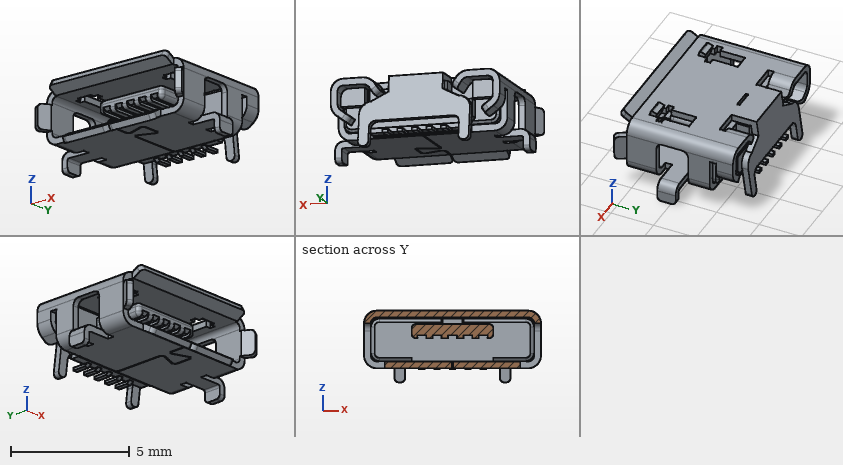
import cadquery as cq
import math


SHELL_W = 7.5
SHELL_D = 5.0
SHELL_H = 2.45
SHEET = 0.3
SHELL_R = 0.55
HALF_W = SHELL_W / 2
INNER_W = SHELL_W - 2 * SHEET
ROOF_UNDERSIDE = SHELL_H - SHEET
FLOOR_REAR = 3.9

LIP_ANGLE = 30
LIP_LENGTH = 0.52
LIP_R = 0.2
ROOF_LIP_W = 6.4
SIDE_LIP_W = 1.16
FLOOR_LIP_W = 5.0

SEAM_GAP = 0.05
SEAM_R = 0.15
DOVETAIL_REACH = 1.09
DOVETAIL_Y = 1.07
DOVETAIL_ROOT_W = 0.3
DOVETAIL_HEAD_W = 1.12

WINDOW_Y0 = 1.4
WINDOW_Y1 = 2.895
WINDOW_TOP = 1.9
WINDOW_R = 0.3
WINDOW_FLOOR_X = 2.87
LEG_W = 0.87
LEG_Y = (WINDOW_Y0 + WINDOW_Y1) / 2
LEG_SPAN = 8.65
LEG_BOTTOM = -0.6
LEG_BEND_R = 0.4
LEG_TIP_R = 0.2

LATCH_X = 2.36
LATCH_W = 0.715
LATCH_Y0 = 0.575
LATCH_Y1 = 2.44
CROSS_W = 1.195
CROSS_Y0 = 1.01
CROSS_Y1 = 1.265
LATCH_ANGLE = 72
LATCH_RISE = 0.237
LATCH_ROOT = 0.2
LATCH_TIP_R = 0.06

SLIT_W = 0.83
SLIT_Y0 = 3.59
SLIT_Y1 = 3.71

TAB_R = 0.66
TAB_ANGLE = 55
TAB_REAR_R = 0.25
TAB_FRONT_R = 0.06
ROOF_TAB_X = 2.35
ROOF_TAB_Y = 3.97
ROOF_TAB_FLAT = 0.39
ROOF_NOTCH_Y = 3.7
SIDE_TAB_Z = 1.375
SIDE_TAB_Y = 4.21
SIDE_TAB_FLAT = 0.49
SIDE_SLOT_TOP = 1.72

PLATE_TOP_Y = 4.88
PLATE_BOTTOM_Y = 5.29
PLATE_NECK = 1.2
PLATE_HALF_W = 2.46
NECK_Z = 1.75
SHOULDER_X = 1.95
SHOULDER_Z = 1.37
SHOULDER_END_Z = 0.8
PLATE_MID_Z = 0.5
FOOT_W = 0.46
FOOT_TIP_R = 0.2
FOOT_ROOT_R = 0.3

BODY_Y0 = 3.45
BODY_Y1 = 4.16
BODY_TOP = 2.11
BODY_R = 0.35
FRONT_CHAMFER = 0.15
REAR_CHAMFER = 0.12
RECESS_Y = 3.96
CENTRE_HALF_W = 1.3
REAR_Y = 4.57
REAR_TOP = 1.3
REAR_HALF_W = 2.4
REAR_BEVEL = 0.24
BASE_Z = 0.1
BASE_Y1 = 4.52
STEP_Z = 0.05
STEP_Y1 = 4.03
BODY_SHOULDER_Z = 1.34
BODY_SHOULDER_Y1 = 4.5
BODY_SHOULDER_GAP = 0.05
NOTCH_TAPER = 0.07

TONGUE_W = 3.47
TONGUE_Y0 = 1.0
TONGUE_Z0 = 1.27
TONGUE_Z1 = 1.885
TONGUE_R = 0.2
CONTACTS = 5
PITCH = 0.65
SLOT_W = 0.365
SLOT_TOP = 1.53
SLOT_RAMP_Z = 1.4
SLOT_RAMP_LENGTH = 0.2
TAIL_W = 0.24
TAIL_Z = -0.03
TAIL_Y0 = 4.28
TAIL_Y1 = 5.1
TAIL_CHAMFER = 0.17


def box(x0, x1, y0, y1, z0, z1):
    """Box between two opposite corners."""
    return cq.Workplane("XY").box(x1 - x0, y1 - y0, z1 - z0, centered=False).translate((x0, y0, z0))


def both_sides(solid):
    """The solid together with its mirror image across the YZ plane."""
    return solid.union(solid.mirror("YZ"))


def along_y(outline, y0, y1):
    """Extrude a closed XZ outline from y0 to y1."""
    return outline.extrude(y0 - y1).translate((0, y0, 0))


def along_x(points, x0, x1):
    """Extrude a closed polygon of (y, z) points from x0 to x1."""
    return cq.Workplane("YZ").polyline(points).close().extrude(x1 - x0).translate((x0, 0, 0))


def shell_tube():
    outer = box(-HALF_W, HALF_W, 0, SHELL_D, 0, SHELL_H).edges("|Y").fillet(SHELL_R)
    inner = box(-INNER_W / 2, INNER_W / 2, 0, SHELL_D, SHEET, ROOF_UNDERSIDE)
    return outer.cut(inner.edges("|Y").fillet(SHELL_R - SHEET))


def lip(width):
    """Flared lip centred on X whose outer face starts at the origin and rises towards -Y."""
    angle = math.radians(LIP_ANGLE)
    sine, cosine = math.sin(angle), math.cos(angle)
    tip_y, tip_z = -LIP_LENGTH * cosine, LIP_LENGTH * sine
    bend_y = -SHEET * math.tan(angle / 2)
    profile = [
        (0, 0),
        (tip_y, tip_z),
        (tip_y - SHEET * sine, tip_z - SHEET * cosine),
        (bend_y, -SHEET),
        (0, -SHEET),
    ]
    thickness = cq.selectors.ParallelDirSelector(cq.Vector(0, sine, cosine))
    return along_x(profile, -width / 2, width / 2).edges(thickness).fillet(LIP_R)


def lips():
    side = lip(SIDE_LIP_W).rotate((0, 0, 0), (0, 1, 0), 90).translate((HALF_W, 0, SHELL_H / 2))
    half_width = (FLOOR_LIP_W - SEAM_GAP) / 2
    floor = lip(half_width).rotate((0, 0, 0), (0, 1, 0), 180)
    floor = floor.translate(((half_width + SEAM_GAP) / 2, 0, 0))
    return lip(ROOF_LIP_W).translate((0, 0, SHELL_H)).union(both_sides(side.union(floor)))


def seam():
    """Narrow gap following a dovetail from the front to the rear of the floor."""
    left_half = (
        cq.Workplane("XY")
        .moveTo(0, -SHELL_D)
        .lineTo(0, DOVETAIL_Y - DOVETAIL_ROOT_W / 2)
        .lineTo(DOVETAIL_REACH, DOVETAIL_Y - DOVETAIL_HEAD_W / 2)
        .lineTo(DOVETAIL_REACH, DOVETAIL_Y + DOVETAIL_HEAD_W / 2)
        .lineTo(0, DOVETAIL_Y + DOVETAIL_ROOT_W / 2)
        .lineTo(0, SHELL_D)
        .lineTo(-SHELL_W, SHELL_D)
        .lineTo(-SHELL_W, -SHELL_D)
        .close()
        .extrude(SHEET)
        .edges("|Z")
        .fillet(SEAM_R)
    )
    border = left_half.faces("<Z").wires().vals()[0]

    def offset_half(distance):
        return cq.Workplane("XY").add(border).toPending().offset2D(distance).extrude(SHEET)

    return offset_half(SEAM_GAP / 2).cut(offset_half(-SEAM_GAP / 2))


def side_window():
    wall = box(INNER_W / 2 - SHELL_R, SHELL_W, WINDOW_Y0, WINDOW_Y1, SHEET, WINDOW_TOP)
    wall = wall.edges("|X and >Z").fillet(WINDOW_R)
    return wall.union(box(WINDOW_FLOOR_X, SHELL_W, WINDOW_Y0, WINDOW_Y1, 0, SHEET))


def board_leg():
    outer_x = LEG_SPAN / 2
    inner_x = outer_x - SHEET
    outline = (
        cq.Workplane("XZ")
        .moveTo(WINDOW_FLOOR_X, 0)
        .lineTo(inner_x, 0)
        .lineTo(inner_x, LEG_BOTTOM)
        .lineTo(outer_x, LEG_BOTTOM)
        .lineTo(outer_x, SHEET)
        .lineTo(WINDOW_FLOOR_X, SHEET)
        .close()
    )
    leg = along_y(outline, LEG_Y - LEG_W / 2, LEG_Y + LEG_W / 2)
    leg = leg.edges("|Y and >X and >Z").fillet(LEG_BEND_R)
    leg = leg.edges(cq.NearestToPointSelector((inner_x, LEG_Y, 0))).fillet(LEG_BEND_R - SHEET)
    return leg.edges("|X and <Z").fillet(LEG_TIP_R)


def latch_opening():
    x0, x1 = LATCH_X - LATCH_W / 2, LATCH_X + LATCH_W / 2
    slot = box(x0, x1, LATCH_Y0, LATCH_Y1, ROOF_UNDERSIDE, SHELL_H)
    cross_x0, cross_x1 = LATCH_X - CROSS_W / 2, LATCH_X + CROSS_W / 2
    return slot.union(box(cross_x0, cross_x1, CROSS_Y0, CROSS_Y1, ROOF_UNDERSIDE, SHELL_H))


def latch():
    """Steep hook bent up out of the roof at the front end of its opening."""
    angle = math.radians(LATCH_ANGLE)
    tip_y = LATCH_Y0 + LATCH_RISE / math.tan(angle)
    tip_z = SHELL_H + LATCH_RISE
    back_y = tip_y + SHEET * math.sin(angle)
    back_z = tip_z - SHEET * math.cos(angle)
    heel_y = back_y - (back_z - ROOF_UNDERSIDE) / math.tan(angle)
    profile = [
        (LATCH_Y0 - LATCH_ROOT, SHELL_H),
        (LATCH_Y0, SHELL_H),
        (tip_y, tip_z),
        (back_y, back_z),
        (heel_y, ROOF_UNDERSIDE),
        (LATCH_Y0 - LATCH_ROOT, ROOF_UNDERSIDE),
    ]
    hook = along_x(profile, LATCH_X - LATCH_W / 2, LATCH_X + LATCH_W / 2)
    return hook.edges(cq.NearestToPointSelector((LATCH_X, tip_y, tip_z))).fillet(LATCH_TIP_R)


def bent_tab(place, flat, y0):
    """Tab reaching the shell rear; place maps (distance along, depth inward) to (x, z)."""
    angle = math.radians(TAB_ANGLE)
    inner_r = TAB_R - SHEET

    def on_bend(radius, turn):
        return radius * math.sin(turn), TAB_R - radius * math.cos(turn)

    def past_bend(radius):
        along, inward = on_bend(radius, angle)
        return along + flat * math.cos(angle), inward + flat * math.sin(angle)

    outline = (
        cq.Workplane("XZ")
        .moveTo(*place(0, 0))
        .threePointArc(place(*on_bend(TAB_R, angle / 2)), place(*on_bend(TAB_R, angle)))
        .lineTo(*place(*past_bend(TAB_R)))
        .lineTo(*place(*past_bend(inner_r)))
        .lineTo(*place(*on_bend(inner_r, angle)))
        .threePointArc(place(*on_bend(inner_r, angle / 2)), place(0, SHEET))
        .close()
    )
    tip_x, tip_z = place(*past_bend((TAB_R + inner_r) / 2))
    tab = along_y(outline, y0, SHELL_D)
    for tip_y, radius in ((SHELL_D, TAB_REAR_R), (y0, TAB_FRONT_R)):
        tab = tab.edges(cq.NearestToPointSelector((tip_x, tip_y, tip_z))).fillet(radius)
    return tab


def roof_tab():
    return bent_tab(lambda along, inward: (ROOF_TAB_X - along, SHELL_H - inward), ROOF_TAB_FLAT, ROOF_TAB_Y)


def side_tab():
    return bent_tab(lambda along, inward: (HALF_W - inward, SIDE_TAB_Z - along), SIDE_TAB_FLAT, SIDE_TAB_Y)


def rear_openings():
    """Material removed behind the floor, beside the side tabs and around the roof tabs."""
    below = box(-HALF_W, HALF_W, FLOOR_REAR, SHELL_D, 0, SIDE_TAB_Z)
    slot = box(INNER_W / 2, HALF_W, FLOOR_REAR, SIDE_TAB_Y, 0, SIDE_SLOT_TOP)
    notch = box(-ROOF_TAB_X, ROOF_TAB_X, ROOF_NOTCH_Y, SHELL_D, ROOF_UNDERSIDE, SHELL_H)
    return below.union(both_sides(slot)).union(notch)


def rear_plate():
    foot_inner = PLATE_HALF_W - FOOT_W
    shoulder_arc = math.sqrt(0.5)
    shoulder_mid = (
        SHOULDER_X + (PLATE_HALF_W - SHOULDER_X) * shoulder_arc,
        SHOULDER_Z - (SHOULDER_Z - SHOULDER_END_Z) * (1 - shoulder_arc),
    )
    outline = (
        cq.Workplane("XZ")
        .moveTo(0, SHELL_H)
        .lineTo(PLATE_NECK, SHELL_H)
        .lineTo(PLATE_NECK, NECK_Z)
        .lineTo(SHOULDER_X, SHOULDER_Z)
        .threePointArc(shoulder_mid, (PLATE_HALF_W, SHOULDER_END_Z))
        .lineTo(PLATE_HALF_W, LEG_BOTTOM)
        .lineTo(foot_inner, LEG_BOTTOM)
        .lineTo(foot_inner, PLATE_MID_Z)
        .lineTo(0, PLATE_MID_Z)
        .close()
    )
    half = along_y(outline, PLATE_TOP_Y - SHEET, PLATE_BOTTOM_Y)
    half = half.edges("|Y and <Z").fillet(FOOT_TIP_R)
    root_point = (foot_inner, (PLATE_TOP_Y - SHEET + PLATE_BOTTOM_Y) / 2, PLATE_MID_Z)
    half = half.edges(cq.NearestToPointSelector(root_point)).fillet(FOOT_ROOT_R)
    slope = along_x(
        [
            (PLATE_TOP_Y, SHELL_H),
            (PLATE_TOP_Y - SHEET, SHELL_H),
            (PLATE_BOTTOM_Y - SHEET, LEG_BOTTOM),
            (PLATE_BOTTOM_Y, LEG_BOTTOM),
        ],
        -PLATE_HALF_W,
        PLATE_HALF_W,
    )
    bridge = box(-PLATE_NECK, PLATE_NECK, ROOF_NOTCH_Y, PLATE_TOP_Y - SHEET / 2, ROOF_UNDERSIDE, SHELL_H)
    return both_sides(half).intersect(slope).union(bridge)


def shell():
    metal = shell_tube().cut(rear_openings()).cut(seam())
    metal = metal.cut(both_sides(side_window())).cut(both_sides(latch_opening()))
    metal = metal.cut(box(-SLIT_W / 2, SLIT_W / 2, SLIT_Y0, SLIT_Y1, ROOF_UNDERSIDE, SHELL_H))
    for part in (board_leg(), latch(), roof_tab(), side_tab()):
        metal = metal.union(both_sides(part))
    return metal.union(lips()).union(rear_plate())


def insulator_body():
    half = INNER_W / 2
    body = box(-half, half, BODY_Y0, BODY_Y1, SHEET, BODY_TOP).edges("|Y").fillet(BODY_R)
    body = body.faces("<Y").chamfer(FRONT_CHAMFER).faces(">Y").chamfer(REAR_CHAMFER)
    tongue_half = TONGUE_W / 2
    body = body.union(box(-tongue_half, tongue_half, BODY_Y0, BODY_Y1, SHEET, SHEET + FRONT_CHAMFER))
    body = body.cut(box(-ROOF_TAB_X, ROOF_TAB_X, RECESS_Y, BODY_Y1, REAR_TOP, BODY_TOP))
    shoulder_x = ROOF_TAB_X + BODY_SHOULDER_GAP
    shoulder = box(shoulder_x, half, RECESS_Y, BODY_SHOULDER_Y1, BODY_SHOULDER_Z, BODY_TOP)
    shoulder = shoulder.edges("|Y and >X and >Z").fillet(BODY_R)
    return body.union(both_sides(shoulder))


def front_notch():
    """Notch in the top of the insulator, narrowing towards the rear, above the tongue."""
    back = SLIT_W / 2
    front = back + NOTCH_TAPER
    return (
        cq.Workplane("XY")
        .workplane(offset=TONGUE_Z1)
        .polyline([(-front, BODY_Y0), (front, BODY_Y0), (back, SLIT_Y1), (-back, SLIT_Y1)])
        .close()
        .extrude(BODY_TOP - TONGUE_Z1)
    )


def insulator_rear():
    rear = box(-REAR_HALF_W, REAR_HALF_W, RECESS_Y, REAR_Y, SHEET, REAR_TOP)
    rear = rear.edges("|Y and <Z").chamfer(REAR_BEVEL)
    centre = box(-CENTRE_HALF_W, CENTRE_HALF_W, RECESS_Y, REAR_Y, REAR_TOP, ROOF_UNDERSIDE)
    base_half = REAR_HALF_W - REAR_BEVEL
    base = box(-base_half, base_half, FLOOR_REAR, BASE_Y1, BASE_Z, SHEET)
    step = box(-base_half, base_half, FLOOR_REAR, STEP_Y1, STEP_Z, BASE_Z)
    return rear.union(centre).union(base).union(step)


def tongue():
    blade = box(-TONGUE_W / 2, TONGUE_W / 2, TONGUE_Y0, RECESS_Y, TONGUE_Z0, TONGUE_Z1)
    blade = blade.edges("|Y or <Y").fillet(TONGUE_R)
    ramp_y = TONGUE_Y0 + SLOT_RAMP_LENGTH
    slot_profile = [
        (TONGUE_Y0, TONGUE_Z0),
        (TONGUE_Y0, SLOT_TOP),
        (ramp_y, SLOT_RAMP_Z),
        (BODY_Y0, SLOT_RAMP_Z),
        (BODY_Y0, TONGUE_Z0),
    ]
    for x in contact_places():
        blade = blade.cut(along_x(slot_profile, x - SLOT_W / 2, x + SLOT_W / 2))
    return blade


def contact_places():
    return [(index - (CONTACTS - 1) / 2) * PITCH for index in range(CONTACTS)]


def solder_tails():
    profile = [
        (TAIL_Y0, BASE_Z),
        (TAIL_Y0 + TAIL_CHAMFER, TAIL_Z),
        (TAIL_Y1, TAIL_Z),
        (TAIL_Y1, BASE_Z),
    ]
    tails = cq.Workplane("XY")
    for x in contact_places():
        tails = tails.add(along_x(profile, x - TAIL_W / 2, x + TAIL_W / 2))
    return tails.combine()


def insulator():
    return insulator_body().cut(front_notch()).union(insulator_rear()).union(tongue()).union(solder_tails())


result = shell().union(insulator())